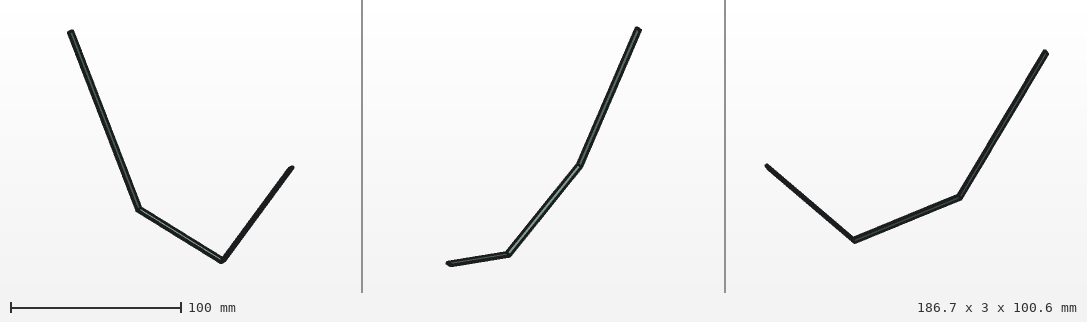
import cadquery as cq
import math

span = 186.7
height = 100.6
strip_width = 3.0
thickness = 1.0
arm_angle = math.radians(60)

tip_rise = thickness * math.cos(arm_angle)
tip_inset = thickness * math.sin(arm_angle)

outer_tip_z = height - tip_rise
outer_bend_x = span / 2 - outer_tip_z / math.tan(arm_angle)
inner_bend_x = outer_bend_x - thickness * math.tan(arm_angle / 2)

right_half = [
    (outer_bend_x, 0),
    (span / 2, outer_tip_z),
    (span / 2 - tip_inset, height),
    (inner_bend_x, thickness),
]
left_half = [(-x, z) for x, z in reversed(right_half)]

result = (
    cq.Workplane("XZ")
    .polyline(right_half + left_half)
    .close()
    .extrude(strip_width / 2, both=True)
)